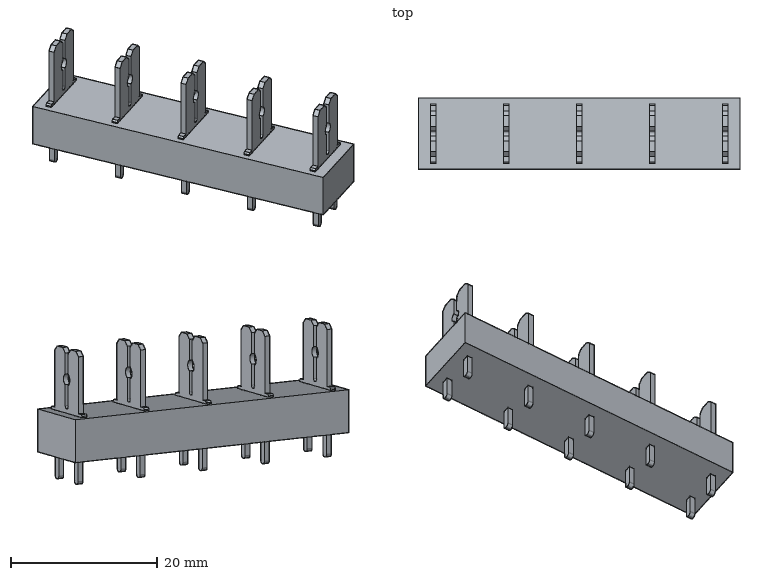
import cadquery as cq

HOUSING_LENGTH = 44.0
HOUSING_DEPTH = 9.8
HOUSING_HEIGHT = 6.0

TERMINAL_COUNT = 5
END_MARGIN = 2.02
TERMINAL_PITCH = (HOUSING_LENGTH - 2 * END_MARGIN) / (TERMINAL_COUNT - 1)
SHEET_THICKNESS = 0.8

BLADE_WIDTH = 6.25
BLADE_HEIGHT = 8.98
BLADE_CHAMFER = 0.65
SLOT_WIDTH = 0.7
SLOT_FLOOR_HEIGHT = 0.6
EYE_DIAMETER = 1.65
EYE_HEIGHT = 4.65

FOOT_WIDTH = 8.15
FOOT_HEIGHT = 0.4
FOOT_CHAMFER = 0.2

LEG_WIDTH = 0.95
LEG_SPACING = 5.0
LEG_PROTRUSION = 3.5
LEG_TIP_RADIUS = 0.45


def terminal_positions():
    """X of the middle of each terminal, with the row centred on the housing."""
    first = END_MARGIN - HOUSING_LENGTH / 2
    return [first + index * TERMINAL_PITCH for index in range(TERMINAL_COUNT)]


def upright_plate(width, bottom, top, middle_y=0.0):
    """Plate of sheet thickness standing across the housing, centred on X = 0."""
    return (
        cq.Workplane("XY", origin=(0, middle_y, bottom))
        .rect(SHEET_THICKNESS, width)
        .extrude(top - bottom)
    )


def cross_cylinder(diameter, height):
    """Cylinder along X that reaches through the sheet at the given height."""
    return (
        cq.Workplane("YZ", origin=(-SHEET_THICKNESS / 2, 0, height))
        .circle(diameter / 2)
        .extrude(SHEET_THICKNESS)
    )


def make_fork():
    """Two chamfered prongs with a round-bottomed slot and a round eye between them."""
    blade_top = HOUSING_HEIGHT + BLADE_HEIGHT
    slot_arc_height = HOUSING_HEIGHT + SLOT_FLOOR_HEIGHT + SLOT_WIDTH / 2
    eye_middle = HOUSING_HEIGHT + EYE_HEIGHT

    blade = upright_plate(BLADE_WIDTH, HOUSING_HEIGHT, blade_top)
    slot = upright_plate(SLOT_WIDTH, slot_arc_height, blade_top)
    prongs = blade.cut(slot).faces(">Z").edges("|X").chamfer(BLADE_CHAMFER)

    slot_end = cross_cylinder(SLOT_WIDTH, slot_arc_height)
    eye = cross_cylinder(EYE_DIAMETER, eye_middle)
    return prongs.cut(slot_end).cut(eye)


def make_foot():
    """Low wide base of the blade with chamfered upper ends."""
    foot = upright_plate(FOOT_WIDTH, HOUSING_HEIGHT, HOUSING_HEIGHT + FOOT_HEIGHT)
    return foot.faces(">Z").edges("|X").chamfer(FOOT_CHAMFER)


def make_leg(middle_y):
    """Solder leg from the foot down through the housing, with a rounded tip."""
    leg = upright_plate(LEG_WIDTH, -LEG_PROTRUSION, HOUSING_HEIGHT, middle_y)
    return leg.faces("<Z").edges("|X").fillet(LEG_TIP_RADIUS)


def make_terminal(middle_x):
    """One forked terminal with its two legs."""
    terminal = make_fork().union(make_foot())
    for side in (-1, 1):
        terminal = terminal.union(make_leg(side * LEG_SPACING / 2))
    return terminal.translate((middle_x, 0, 0))


def make_housing():
    """Plain block with a pair of through holes for the legs of each terminal."""
    leg_places = [
        (x, side * LEG_SPACING / 2)
        for x in terminal_positions()
        for side in (-1, 1)
    ]
    block = cq.Workplane("XY").rect(HOUSING_LENGTH, HOUSING_DEPTH).extrude(HOUSING_HEIGHT)
    leg_holes = (
        cq.Workplane("XY")
        .pushPoints(leg_places)
        .rect(SHEET_THICKNESS, LEG_WIDTH)
        .extrude(HOUSING_HEIGHT)
    )
    return block.cut(leg_holes)


housing = make_housing()
terminals = [make_terminal(x) for x in terminal_positions()]

result = cq.Compound.makeCompound([housing.val(), *[terminal.val() for terminal in terminals]])